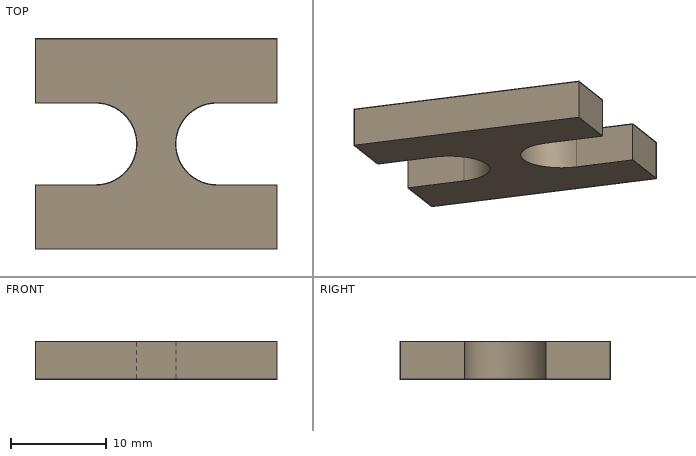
import cadquery as cq

length = 25.4
width = 22.1
thickness = 4.0
slot_width = 8.59
web_width = 4.11

slot_radius = slot_width / 2
arc_center_x = web_width / 2 + slot_radius


def end_slot(side):
    """Round-ended through slot, open on the +X (side=1) or -X (side=-1) edge."""
    return (
        cq.Workplane("XY")
        .moveTo(side * length / 2, slot_radius)
        .lineTo(side * arc_center_x, slot_radius)
        .threePointArc((side * web_width / 2, 0), (side * arc_center_x, -slot_radius))
        .lineTo(side * length / 2, -slot_radius)
        .close()
        .extrude(thickness)
    )


result = cq.Workplane("XY").box(length, width, thickness, centered=(True, True, False))
for side in (-1, 1):
    result = result.cut(end_slot(side))